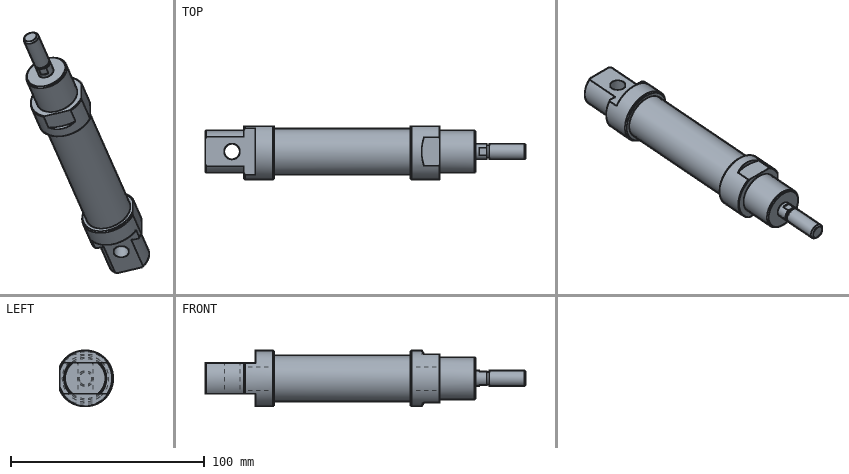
import cadquery as cq
import math


TANG_LENGTH = 20.0
CHEEK_END_X = 26.0
REAR_CAP_END_X = 35.5
FRONT_CAP_START_X = 106.0
FRONT_COLLAR_END_X = 121.1
NECK_END_X = 139.5
OVERALL_LENGTH = 165.5

CAP_DIAMETER = 29.0
CAP_CHAMFER = 0.7
FRONT_EDGE_CHAMFER = 0.3
OVERALL_WIDTH = 27.6
SIDE_FLAT_Y = OVERALL_WIDTH - CAP_DIAMETER / 2
NECK_DIAMETER = 22.0
NECK_CHAMFER = 0.7

TANG_THICKNESS = 16.0
PIVOT_X = 13.9
PIVOT_DIAMETER = 8.0

CAP_FLATS_WIDTH = 25.0
CAP_FLATS_START_X = 111.7
CAP_FLATS_END_RADIUS = 23.2

BARREL_DIAMETER = 24.0

ROD_DIAMETER = 8.1
ROD_CHAMFER = 0.8
ROD_FLATS_WIDTH = 7.1
ROD_FLATS_START_X = 141.5
GROOVE_START_X = 145.3
GROOVE_END_X = 146.6
GROOVE_DIAMETER = 6.6


def cylinder(start_x, end_x, diameter):
    """Round bar on the X axis."""
    return cq.Workplane("YZ", origin=(start_x, 0, 0)).circle(diameter / 2).extrude(end_x - start_x)


def box(x_range, y_range, z_range):
    """Block between the given limits."""
    sizes = [high - low for low, high in (x_range, y_range, z_range)]
    corner = (x_range[0], y_range[0], z_range[0])
    return cq.Workplane("XY", origin=corner).box(*sizes, centered=False)


def cut_side_flat(cap):
    """Flatten the +Y side of a cap along its whole length."""
    cutter = box((0, OVERALL_LENGTH), (SIDE_FLAT_Y, CAP_DIAMETER), (-CAP_DIAMETER, CAP_DIAMETER))
    return cap.cut(cutter)


def make_rear_cap():
    tang = cylinder(0, TANG_LENGTH, NECK_DIAMETER).faces("<X").chamfer(NECK_CHAMFER)
    collar = cylinder(TANG_LENGTH, REAR_CAP_END_X, CAP_DIAMETER).faces("<X or >X").chamfer(CAP_CHAMFER)
    cap = cut_side_flat(tang.union(collar))

    half_thickness = TANG_THICKNESS / 2
    across = (-CAP_DIAMETER, CAP_DIAMETER)
    cap = cap.cut(box((0, CHEEK_END_X), across, (half_thickness, CAP_DIAMETER)))
    cap = cap.cut(box((0, CHEEK_END_X), across, (-CAP_DIAMETER, -half_thickness)))

    pivot_hole = (
        cq.Workplane("XY", origin=(PIVOT_X, 0, 0))
        .circle(PIVOT_DIAMETER / 2)
        .extrude(TANG_THICKNESS, both=True)
    )
    return cap.cut(pivot_hole)


def make_barrel():
    return cylinder(REAR_CAP_END_X, FRONT_CAP_START_X, BARREL_DIAMETER)


def make_front_cap():
    collar = cylinder(FRONT_CAP_START_X, FRONT_COLLAR_END_X, CAP_DIAMETER)
    collar = collar.faces("<X").chamfer(CAP_CHAMFER).faces(">X").chamfer(FRONT_EDGE_CHAMFER)
    neck = cylinder(FRONT_COLLAR_END_X, NECK_END_X, NECK_DIAMETER).faces(">X").chamfer(NECK_CHAMFER)
    collar = cut_side_flat(collar)

    half_width = CAP_DIAMETER / 2
    arc_depth = CAP_FLATS_END_RADIUS - math.sqrt(CAP_FLATS_END_RADIUS**2 - half_width**2)
    arc_end_x = CAP_FLATS_START_X + arc_depth
    for side in (1, -1):
        cutter = (
            cq.Workplane("XY", origin=(0, 0, side * CAP_FLATS_WIDTH / 2))
            .moveTo(arc_end_x, -half_width)
            .threePointArc((CAP_FLATS_START_X, 0), (arc_end_x, half_width))
            .lineTo(FRONT_COLLAR_END_X, half_width)
            .lineTo(FRONT_COLLAR_END_X, -half_width)
            .close()
            .extrude(side * CAP_DIAMETER)
        )
        collar = collar.cut(cutter)
    return collar.union(neck)


def make_piston_rod():
    shank = cylinder(NECK_END_X, GROOVE_START_X, ROD_DIAMETER)
    flats_x = (ROD_FLATS_START_X, GROOVE_START_X)
    across = (-ROD_DIAMETER, ROD_DIAMETER)
    half_flats = ROD_FLATS_WIDTH / 2
    shank = shank.cut(box(flats_x, across, (half_flats, ROD_DIAMETER)))
    shank = shank.cut(box(flats_x, across, (-ROD_DIAMETER, -half_flats)))

    groove_core = cylinder(GROOVE_START_X, GROOVE_END_X, GROOVE_DIAMETER)
    thread = cylinder(GROOVE_END_X, OVERALL_LENGTH, ROD_DIAMETER).faces(">X").chamfer(ROD_CHAMFER)
    return shank.union(groove_core).union(thread)


rear_cap = make_rear_cap()
barrel = make_barrel()
front_cap = make_front_cap()
piston_rod = make_piston_rod()

result = cq.Compound.makeCompound([rear_cap.val(), barrel.val(), front_cap.val(), piston_rod.val()])